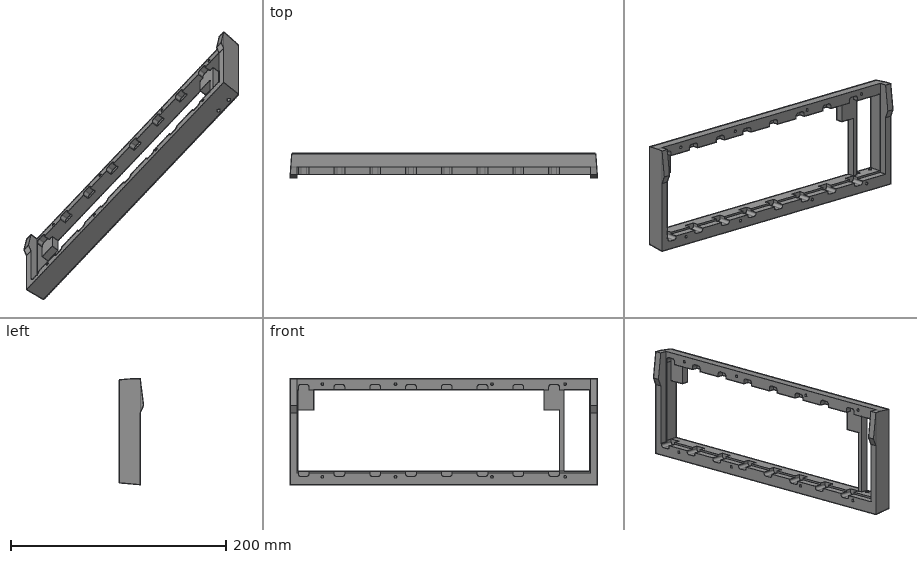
import cadquery as cq

length = 285.3
height = 98.7
depth = 20.0
side_draft = 1.5
bottom_draft = 1.7
top_draft = 1.0
back_chamfer = 0.9

end_wall = 7.5
top_wall = 10.5
bottom_wall = 12.8
seat_step = 0.9
seat_drop = 1.7
seat_depth = 7.0
window_left = -length / 2 + end_wall
window_right = length / 2 - end_wall
window_top = height - top_wall
window_bottom = bottom_wall

notch_count = 8
first_notch_x = -130.0
last_notch_x = 102.5
notch_pitch = (last_notch_x - first_notch_x) / (notch_count - 1)
notch_width = 10.0
notch_reach = 5.0
notch_radius = 2.5
notch_depth = 12.8

block_half_width = 9.5
block_bottom = height - 29.5
web_front = notch_depth
divider_left = last_notch_x + notch_width / 2
divider_right = last_notch_x + block_half_width

rail_hole_diameter = 2.4
rail_hole_depth = 5.7
rail_hole_offset = 5.5
rail_hole_places = (-112.7, -44.8, 44.8, 112.7)
floor_hole_diameter = 3.0
floor_hole_inset = 4.3
floor_hole_from_back = 4.0

catch_reach = 3.0
catch_peak_drop = 24.8
catch_length = 32.0
catch_width = end_wall - seat_step


def box(left, right, front, back, bottom, top):
    size = (right - left, back - front, top - bottom)
    return cq.Workplane("XY").box(*size, centered=False).translate((left, front, bottom))


def drafted_block():
    side_profile = [
        (0, 0),
        (depth, bottom_draft),
        (depth, height - top_draft),
        (seat_depth, height),
        (0, height),
    ]
    plan = [
        (-length / 2, 0),
        (length / 2, 0),
        (length / 2 - side_draft, depth),
        (-length / 2 + side_draft, depth),
    ]
    long_bar = cq.Workplane("YZ").polyline(side_profile).close().extrude(length / 2, both=True)
    plan_prism = cq.Workplane("XY").polyline(plan).close().extrude(height)
    return long_bar.intersect(plan_prism).faces(">Y").chamfer(back_chamfer)


def notch_cutter(center_x):
    bottom = window_bottom - notch_reach
    top = window_top + notch_reach
    left = center_x - notch_width / 2
    cutter = box(left, left + notch_width, 0, notch_depth, bottom, top)
    return cutter.edges("|Y").fillet(notch_radius)


def catch(left):
    profile = [
        (0, height),
        (-catch_reach, height - catch_peak_drop),
        (0, height - catch_length),
    ]
    return cq.Workplane("YZ").polyline(profile).close().extrude(catch_width).translate((left, 0, 0))


frame = drafted_block()
frame = frame.cut(box(window_left, window_right, 0, depth, window_bottom, window_top))
frame = frame.cut(
    box(
        window_left - seat_step,
        window_right + seat_step,
        0,
        seat_depth,
        window_bottom - seat_drop,
        height,
    )
)

for index in range(notch_count):
    frame = frame.cut(notch_cutter(first_notch_x + index * notch_pitch))

left_block_edge = first_notch_x + block_half_width
right_block_edge = last_notch_x - block_half_width
frame = frame.union(box(window_left, left_block_edge, web_front, depth, block_bottom, window_top))
frame = frame.union(box(right_block_edge, divider_right, web_front, depth, block_bottom, window_top))
frame = frame.union(box(divider_left, divider_right, web_front, depth, window_bottom, window_top))

rail_hole_rows = (
    (window_top + rail_hole_offset, seat_depth),
    (window_bottom - rail_hole_offset, 0),
)
for hole_z, face_y in rail_hole_rows:
    for hole_x in rail_hole_places:
        hole = cq.Solid.makeCylinder(
            rail_hole_diameter / 2,
            rail_hole_depth,
            cq.Vector(hole_x, face_y, hole_z),
            cq.Vector(0, 1, 0),
        )
        frame = frame.cut(cq.Workplane(hole))

for hole_x in (divider_right + floor_hole_inset, window_right - floor_hole_inset):
    hole = cq.Solid.makeCylinder(
        floor_hole_diameter / 2,
        window_bottom,
        cq.Vector(hole_x, depth - floor_hole_from_back, 0),
    )
    frame = frame.cut(cq.Workplane(hole))

for catch_left in (-length / 2, length / 2 - catch_width):
    frame = frame.union(catch(catch_left))

result = frame